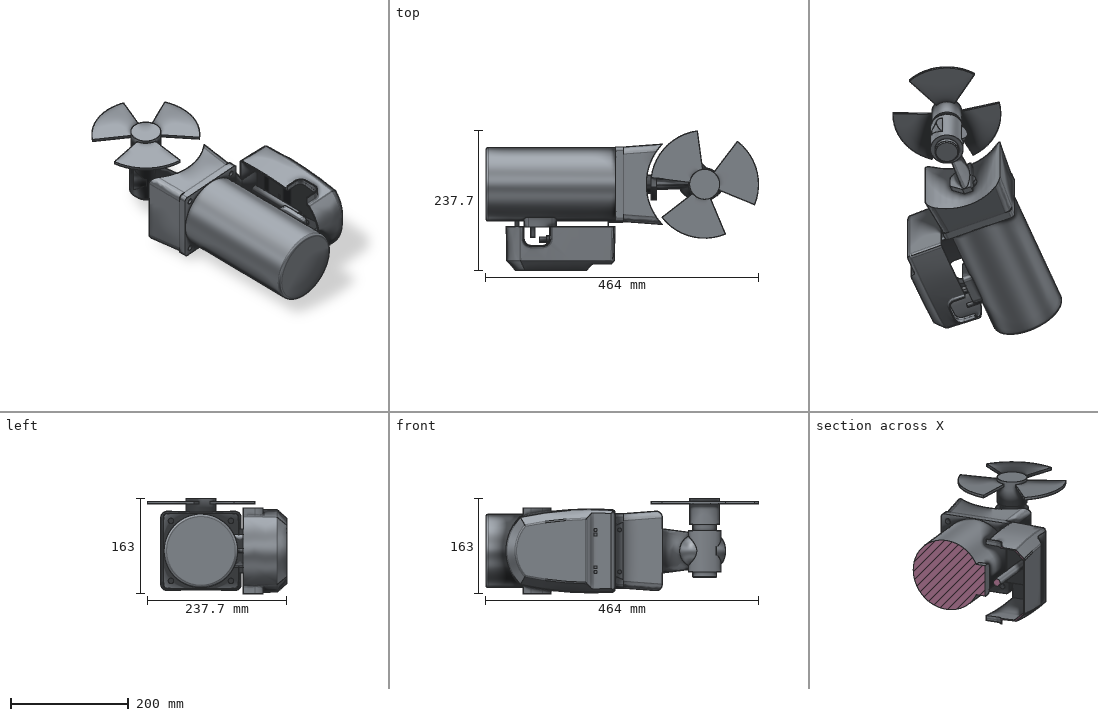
import cadquery as cq
import math


MOTOR_R = 62.5
MOTOR_LENGTH = 221.0
MOTOR_EDGE_R = 4.0
FLANGE_HALF = 63.5
FLANGE_THICKNESS = 13.0
FLANGE_CORNER_R = 6.0
FLANGE_HOLE_R = 4.5
FLANGE_HOLE_OFFSET = 51.0
FLANGE_END = MOTOR_LENGTH + FLANGE_THICKNESS
FAIRING_LENGTH = 68.5
FAIRING_END_HALF = 68.5
FAIRING_CORNER_R = 12.0
FAIRING_CUT_R = 99.5

PROP_X = 372.0
NECK_R = 16.0
NECK_START = PROP_X - FAIRING_CUT_R - 4.5
LEVER_START = 281.0
LEVER_END = 290.5
LEVER_BACK_Y = 11.0
LEVER_SHOULDER_Y = -4.0
LEVER_TIP_Y = -27.0
LEVER_HALF_HEIGHT = 40.0
LEVER_TIP_HALF_HEIGHT = 14.0
ARM_ROOT_HALF_Y = 9.5
ARM_ROOT_HALF_Z = 39.0
ARM_TIP_HALF_Y = 5.5
ARM_TIP_HALF_Z = 28.5
HEAD_R = 28.0
HEAD_TOP = 34.5
HEAD_BOTTOM = -35.5
SPIGOT_R = 20.5
SPIGOT_BOTTOM = -45.5
SPIGOT_CHAMFER = 2.0
BALL_R = 28.8
BALL_OFFSET_X = -16.2
BALL_Y = 4.0
DRUM_R = 28.8
DRUM_END = 22.0
DRUM_ANGLE = 45.0

HUB_R = 25.5
HUB_BOTTOM = 45.0
HUB_TOP = 89.5
BLADE_R = 464.0 - PROP_X
BLADE_COUNT = 3
BLADE_START_ANGLE = 97.7
BLADE_SPAN = 75.0
BLADE_BOTTOM = 80.0
BLADE_THICKNESS = 4.5

COVER_BACK = 72.0
COVER_SHOULDER = 130.0
COVER_STEP = 136.0
COVER_FRONT = 146.5
COVER_WALL = 3.0
COVER_DRAFT = 1.5
COVER_BEVEL = 42.0
COVER_NOSE_X = 34.0
COVER_END_X = 220.0
COVER_CORNER_X = 58.0
COVER_CORNER_Z = 58.5
COVER_CREST_X = 169.0
COVER_CREST_Z = 71.5
COVER_END_Z = 70.0
COVER_END_CORNER_R = 6.0
COVER_EDGE_R = 3.5
COVER_SHOULDER_R = 2.0
EDGE_REACH = 1.5
PANEL_END_X = 171.0
STEP_START_X = 180.0

OPENING_START_X = 65.0
OPENING_END_X = 108.5
OPENING_DEPTH = 32.0
OPENING_CORNER_R = 12.0
COLLAR_WALL = 2.0
COLLAR_HALF_Z = 73.5
COLLAR_BASE_R = 2.5

MARK_X = 186.5
MARK_DEPTH = 1.5
ROUND_MARK_R = 3.0
ROUND_MARK_Z = 35.5
SQUARE_MARK_SIDE = 4.5
SQUARE_MARK_Z = 28.0

BLOCK_START_X = 65.0
BLOCK_END_X = 119.5
BLOCK_HALF_Z = 28.0
BLOCK_CORNER_R = 7.5
BLOCK_FRONT = 73.0
PIN_R = 3.5
PIN_XS = (53.0, 80.0)
PIN_FRONT = 90.5
PLATE_THICKNESS = 1.5
PLATE_BEND_X = 207.5
PLATE_END_X = 233.0
PLATE_BEND_HALF_Z = 37.5
PLATE_END_HALF_Z = 48.5
PLATE_HOLE_X = 227.5
PLATE_HOLE_Z = 35.5
PLATE_HOLE_R = 3.2
PLATE_TAB_FRONT = 102.0
SPINDLE_START_X = 91.0
SPINDLE_R = 4.5
SPINDLE_DEPTH = 94.0
COLLET_START_X = 103.5
COLLET_R = 7.0


def bar_x(radius, start, end, y=0.0):
    """Round bar parallel to X."""
    return cq.Workplane("YZ", origin=(start, y, 0)).circle(radius).extrude(end - start)


def post_z(radius, bottom, top):
    """Round post on the propeller axis."""
    return cq.Workplane("XY", origin=(PROP_X, 0, bottom)).circle(radius).extrude(top - bottom)


def front_plane(depth):
    """Plane facing -Y at the given distance from the motor axis."""
    return cq.Workplane("XZ", origin=(0, -depth, 0))


def make_motor():
    motor = bar_x(MOTOR_R, 0, MOTOR_LENGTH).faces("<X").edges().fillet(MOTOR_EDGE_R)
    flange = (
        cq.Workplane("YZ", origin=(MOTOR_LENGTH, 0, 0))
        .rect(2 * FLANGE_HALF, 2 * FLANGE_HALF)
        .extrude(FLANGE_THICKNESS)
        .edges("|X")
        .fillet(FLANGE_CORNER_R)
    )
    holes = (
        cq.Workplane("YZ", origin=(MOTOR_LENGTH, 0, 0))
        .rect(2 * FLANGE_HOLE_OFFSET, 2 * FLANGE_HOLE_OFFSET, forConstruction=True)
        .vertices()
        .circle(FLANGE_HOLE_R)
        .extrude(FLANGE_THICKNESS)
    )
    return motor.union(flange.cut(holes))


def make_fairing():
    block = (
        cq.Workplane("YZ", origin=(FLANGE_END, 0, 0))
        .rect(2 * FLANGE_HALF, 2 * FLANGE_HALF)
        .workplane(offset=FAIRING_LENGTH)
        .rect(2 * FAIRING_END_HALF, 2 * FAIRING_END_HALF)
        .loft(ruled=True)
    )
    block = block.edges("not(<X or >X)").fillet(FAIRING_CORNER_R)
    return block.cut(post_z(FAIRING_CUT_R, -FAIRING_END_HALF, FAIRING_END_HALF))


def make_arm():
    """Neck out of the fairing, a lever plate, and a flat arm that thins towards the gear head."""
    neck = bar_x(NECK_R, NECK_START, LEVER_START)
    lever = (
        cq.Workplane("YZ", origin=(LEVER_START, 0, 0))
        .polyline([
            (LEVER_BACK_Y, -LEVER_HALF_HEIGHT),
            (LEVER_BACK_Y, LEVER_HALF_HEIGHT),
            (LEVER_SHOULDER_Y, LEVER_HALF_HEIGHT),
            (LEVER_TIP_Y, LEVER_TIP_HALF_HEIGHT),
            (LEVER_TIP_Y, -LEVER_TIP_HALF_HEIGHT),
            (LEVER_SHOULDER_Y, -LEVER_HALF_HEIGHT),
        ])
        .close()
        .extrude(LEVER_END - LEVER_START)
    )
    blade = (
        cq.Workplane("YZ", origin=(LEVER_END, 0, 0))
        .ellipse(ARM_ROOT_HALF_Y, ARM_ROOT_HALF_Z)
        .workplane(offset=PROP_X - LEVER_END)
        .ellipse(ARM_TIP_HALF_Y, ARM_TIP_HALF_Z)
        .loft(ruled=True)
    )
    return neck.union(lever).union(blade)


def make_gear_head():
    """Upright head on the arm, with a bulge on its -Y side and a drum behind it."""
    spigot = post_z(SPIGOT_R, SPIGOT_BOTTOM, HUB_BOTTOM).faces("<Z").chamfer(SPIGOT_CHAMFER)
    head = post_z(HEAD_R, HEAD_BOTTOM, HEAD_TOP)
    ball = cq.Workplane("XY", origin=(PROP_X + BALL_OFFSET_X, BALL_Y, 0)).sphere(BALL_R)
    ball = ball.intersect(
        cq.Workplane("XY").box(4 * BALL_R, 2 * BALL_R, 2 * BALL_R).translate((PROP_X, -BALL_R, 0))
    )
    drum = (
        bar_x(DRUM_R, 0, DRUM_END)
        .rotate((0, 0, 0), (0, 0, 1), DRUM_ANGLE)
        .translate((PROP_X, 0, 0))
    )
    return head.union(ball).union(drum).union(spigot)


def make_box_mount():
    """Block and pins that stand on the side of the motor and reach into the cover."""
    block = (
        cq.Workplane("XY")
        .box(BLOCK_END_X - BLOCK_START_X, BLOCK_FRONT, 2 * BLOCK_HALF_Z)
        .translate(((BLOCK_START_X + BLOCK_END_X) / 2, -BLOCK_FRONT / 2, 0))
        .edges("|Y")
        .fillet(BLOCK_CORNER_R)
    )
    pins = front_plane(0).pushPoints([(x, 0) for x in PIN_XS]).circle(PIN_R).extrude(PIN_FRONT)
    return block.union(pins)


def make_bent_plate():
    """Sheet on the flange, bent into the cover, where it carries a spindle."""
    plate = (
        front_plane(FLANGE_HALF)
        .polyline([
            (PLATE_BEND_X, -PLATE_BEND_HALF_Z),
            (PLATE_END_X, -PLATE_END_HALF_Z),
            (PLATE_END_X, PLATE_END_HALF_Z),
            (PLATE_BEND_X, PLATE_BEND_HALF_Z),
        ])
        .close()
        .extrude(PLATE_THICKNESS)
    )
    holes = (
        front_plane(FLANGE_HALF)
        .pushPoints([(PLATE_HOLE_X, PLATE_HOLE_Z), (PLATE_HOLE_X, -PLATE_HOLE_Z)])
        .circle(PLATE_HOLE_R)
        .extrude(PLATE_THICKNESS)
    )
    tab = cq.Workplane("XY").box(
        PLATE_THICKNESS, PLATE_TAB_FRONT - FLANGE_HALF, 2 * PLATE_BEND_HALF_Z
    ).translate((PLATE_BEND_X + PLATE_THICKNESS / 2, -(PLATE_TAB_FRONT + FLANGE_HALF) / 2, 0))
    spindle = bar_x(SPINDLE_R, SPINDLE_START_X, PLATE_BEND_X, -SPINDLE_DEPTH)
    collet = bar_x(COLLET_R, COLLET_START_X, PLATE_BEND_X, -SPINDLE_DEPTH)
    return plate.cut(holes).union(tab).union(spindle).union(collet)


def make_thruster():
    return (
        make_motor()
        .union(make_fairing())
        .union(make_arm())
        .union(make_gear_head())
        .union(make_box_mount())
        .union(make_bent_plate())
    )


def make_propeller():
    propeller = post_z(HUB_R, HUB_BOTTOM, HUB_TOP)

    def rim_point(angle):
        return (BLADE_R * math.cos(math.radians(angle)), BLADE_R * math.sin(math.radians(angle)))

    for i in range(BLADE_COUNT):
        start = BLADE_START_ANGLE + i * 360 / BLADE_COUNT
        blade = (
            cq.Workplane("XY", origin=(PROP_X, 0, BLADE_BOTTOM))
            .lineTo(*rim_point(start))
            .threePointArc(rim_point(start + BLADE_SPAN / 2), rim_point(start + BLADE_SPAN))
            .close()
            .extrude(BLADE_THICKNESS)
        )
        propeller = propeller.union(blade)
    return propeller


def cover_outline(depth):
    return (
        front_plane(depth)
        .moveTo(COVER_CORNER_X, -COVER_CORNER_Z)
        .threePointArc((COVER_NOSE_X, 0), (COVER_CORNER_X, COVER_CORNER_Z))
        .threePointArc((COVER_CREST_X, COVER_CREST_Z), (COVER_END_X, COVER_END_Z))
        .lineTo(COVER_END_X, -COVER_END_Z)
        .threePointArc((COVER_CREST_X, -COVER_CREST_Z), (COVER_CORNER_X, -COVER_CORNER_Z))
        .close()
    )


def cover_form(wall):
    """Solid form of the cover, with its walls moved inwards by the given amount."""
    outline = cover_outline(COVER_BACK)
    if wall:
        outline = outline.offset2D(-wall, "intersection")
    sides = outline.extrude(COVER_SHOULDER - wall - COVER_BACK, taper=COVER_DRAFT)
    bevel = (
        sides.faces("<Y")
        .wires()
        .toPending()
        .workplane()
        .extrude(COVER_FRONT - COVER_SHOULDER, taper=COVER_BEVEL, combine=False)
    )
    step = (
        cq.Workplane("XY", origin=(-wall, wall, -COLLAR_HALF_Z))
        .moveTo(PANEL_END_X, -COVER_FRONT)
        .lineTo(STEP_START_X, -COVER_STEP)
        .lineTo(COVER_END_X + wall, -COVER_STEP)
        .lineTo(COVER_END_X + wall, -COVER_FRONT)
        .close()
        .extrude(2 * COLLAR_HALF_Z)
    )
    return sides.union(bevel).cut(step)


def opening_form(grow, half_z):
    """U-shaped prism through the open rim of the cover, enlarged by the given amount."""
    width = OPENING_END_X - OPENING_START_X + 2 * grow
    depth = OPENING_DEPTH + grow
    return (
        cq.Workplane("XY")
        .box(width, depth, 2 * half_z)
        .translate(((OPENING_START_X + OPENING_END_X) / 2, -COVER_BACK - depth / 2, 0))
        .edges("|Z and <Y")
        .fillet(OPENING_CORNER_R + grow)
    )


def around(place):
    """Short range on both sides of a place, in which its edges are looked for."""
    return (place - EDGE_REACH, place + EDGE_REACH)


def edges_between(x_range, depth_range, z_range):
    """Selector of the edges whose middle lies in the given box, depth being measured along -Y."""
    return cq.selectors.BoxSelector(
        (x_range[0], -depth_range[1], z_range[0]), (x_range[1], -depth_range[0], z_range[1])
    )


def cover_outside():
    """Cover form with rounded end corners and softened front edges."""
    all_z = (-COLLAR_HALF_Z, COLLAR_HALF_Z)
    side_depths = (COVER_BACK + EDGE_REACH, COVER_SHOULDER - EDGE_REACH)
    end_corners = edges_between(around(COVER_END_X), side_depths, all_z)
    nose_corners = edges_between(around(COVER_CORNER_X), side_depths, all_z)
    shoulder = edges_between((0, COVER_END_X), around(COVER_SHOULDER), all_z)
    step_foot = edges_between(around(STEP_START_X), around(COVER_STEP), all_z)
    form = cover_form(0)
    form = form.edges(end_corners).fillet(COVER_END_CORNER_R)
    form = form.edges(nose_corners).fillet(COVER_SHOULDER_R)
    form = form.edges(shoulder).fillet(COVER_SHOULDER_R)
    form = form.edges(step_foot).fillet(COVER_EDGE_R)
    return form.faces("<Y").edges().fillet(COVER_EDGE_R)


def add_collar_bases(cover):
    """Round the foot of both collars, where their sides rise from the cover."""
    x_range = (OPENING_START_X - 2 * COLLAR_WALL, OPENING_END_X + 2 * COLLAR_WALL)
    depth_range = (COVER_BACK + COLLAR_WALL, COVER_BACK + OPENING_DEPTH + 2 * COLLAR_WALL)
    low, high = COVER_CORNER_Z - COVER_WALL, COVER_END_Z
    for z_range in ((low, high), (-high, -low)):
        foot = edges_between(x_range, depth_range, z_range)
        cover = cover.edges(foot).edges("not |Z").fillet(COLLAR_BASE_R)
    return cover


def make_marks():
    depth = COVER_STEP - MARK_DEPTH
    rounds = (
        front_plane(depth)
        .pushPoints([(MARK_X, ROUND_MARK_Z), (MARK_X, -ROUND_MARK_Z)])
        .circle(ROUND_MARK_R)
        .extrude(MARK_DEPTH)
    )
    squares = (
        front_plane(depth)
        .pushPoints([(MARK_X, SQUARE_MARK_Z), (MARK_X, -SQUARE_MARK_Z)])
        .rect(SQUARE_MARK_SIDE, SQUARE_MARK_SIDE)
        .extrude(MARK_DEPTH)
    )
    return rounds.union(squares)


def make_cover():
    collared = cover_outside().union(opening_form(COLLAR_WALL, COLLAR_HALF_Z))
    return (
        add_collar_bases(collared)
        .cut(cover_form(COVER_WALL))
        .cut(opening_form(0, COLLAR_HALF_Z))
        .cut(make_marks())
    )


thruster = make_thruster()
propeller = make_propeller()
cover = make_cover()

result = cq.Compound.makeCompound([thruster.val(), propeller.val(), cover.val()])